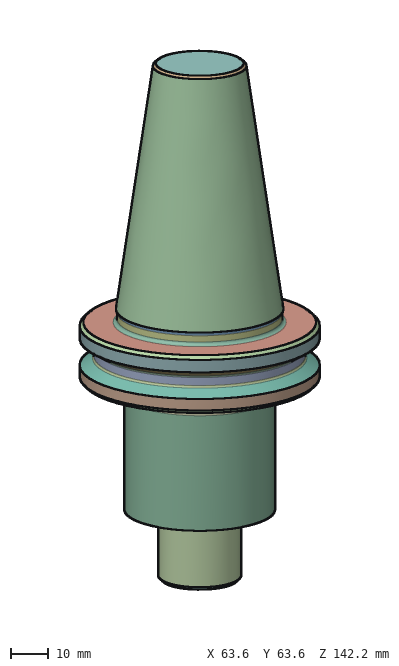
import cadquery as cq
import math

total_height = 142.2
shank_bottom = 19.2
flange_bottom = 54.9
flange_height = 16.0
flange_top = flange_bottom + flange_height
taper_length = 67.7
taper_bottom = total_height - taper_length

pin_diameter = 22.0
shank_diameter = 40.0
flange_diameter = 63.6
groove_diameter = 56.0
neck_diameter = 43.8
taper_large_diameter = 44.4
taper_ratio = 7 / 24

groove_center = 62.7
groove_floor_width = 3.0
groove_wall_angle = 60.0

edge_chamfer = 1.0
taper_end_chamfer = 0.7
taper_back_height = 1.0
neck_fillet = 1.0
shank_fillet = 4.0
groove_root_fillet = 0.7

pin_radius = pin_diameter / 2
shank_radius = shank_diameter / 2
flange_radius = flange_diameter / 2
groove_radius = groove_diameter / 2
neck_radius = neck_diameter / 2
taper_large_radius = taper_large_diameter / 2
taper_small_radius = taper_large_radius - taper_length * taper_ratio / 2


def fillet_middle(radius, level, size, direction):
    """Middle point of a concave fillet between a cylinder and a flat face at the given level."""
    inset = size * (1 - math.cos(math.pi / 4))
    return radius + inset, level + direction * inset


def revolve_profile(profile):
    return profile.close().revolve(360, (0, 0, 0), (0, 1, 0))


def make_body():
    """Pin, shank, flange, neck and taper as one turned profile."""
    return revolve_profile(
        cq.Workplane("XZ")
        .moveTo(0, 0)
        .lineTo(pin_radius - edge_chamfer, 0)
        .lineTo(pin_radius, edge_chamfer)
        .lineTo(pin_radius, shank_bottom)
        .lineTo(shank_radius, shank_bottom)
        .lineTo(shank_radius, flange_bottom - shank_fillet)
        .threePointArc(
            fillet_middle(shank_radius, flange_bottom, shank_fillet, -1),
            (shank_radius + shank_fillet, flange_bottom),
        )
        .lineTo(flange_radius - edge_chamfer, flange_bottom)
        .lineTo(flange_radius, flange_bottom + edge_chamfer)
        .lineTo(flange_radius, flange_top - edge_chamfer)
        .lineTo(flange_radius - edge_chamfer, flange_top)
        .lineTo(neck_radius + neck_fillet, flange_top)
        .threePointArc(
            fillet_middle(neck_radius, flange_top, neck_fillet, 1),
            (neck_radius, flange_top + neck_fillet),
        )
        .lineTo(neck_radius, taper_bottom - taper_back_height)
        .lineTo(taper_large_radius, taper_bottom)
        .lineTo(
            taper_small_radius + taper_end_chamfer * taper_ratio / 2,
            total_height - taper_end_chamfer,
        )
        .lineTo(taper_small_radius - taper_end_chamfer, total_height)
        .lineTo(0, total_height)
    )


def make_groove():
    """Trapezoidal ring removed from the rim of the flange."""
    depth = flange_radius - groove_radius
    floor_half = groove_floor_width / 2
    mouth_half = floor_half + depth * math.tan(math.radians(groove_wall_angle / 2))
    ring = revolve_profile(
        cq.Workplane("XZ")
        .moveTo(groove_radius, groove_center - floor_half)
        .lineTo(flange_radius, groove_center - mouth_half)
        .lineTo(flange_radius, groove_center + mouth_half)
        .lineTo(groove_radius, groove_center + floor_half)
    )
    root_edges = cq.selectors.RadiusNthSelector(0)
    return ring.edges("%CIRCLE").edges(root_edges).fillet(groove_root_fillet)


result = make_body().cut(make_groove())